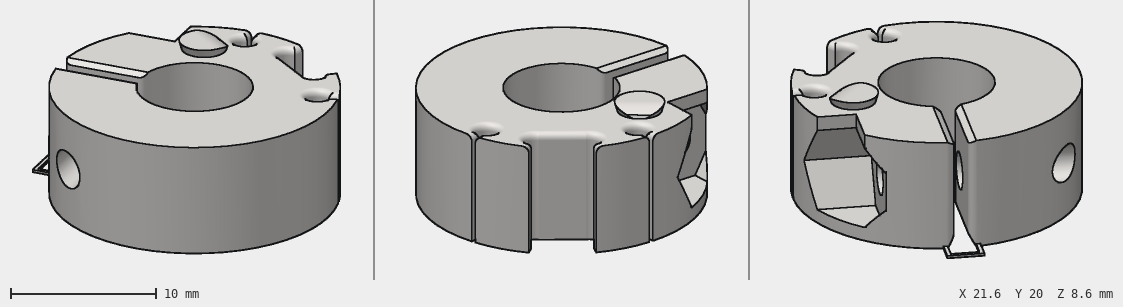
import cadquery as cq
import math

body_radius = 10.0
body_height = 8.0
bore_radius = 4.0

slit_y = -0.06
slit_width = 1.0
slit_corner_radius = 0.5
edge_break = 0.5
top_break_angle = 30
bottom_break_angle = 60

frame_tip_x = -11.55
frame_bar = 0.3
frame_height = 0.2
frame_embed = 0.32

screw_x = -6.0
screw_z = body_height / 2
screw_hole_radius = 1.31
nut_across_flats = 5.97
nut_floor_y = 4.98
nut_slot_floor_y = 6.33

rim_fillet = 0.5
keyhole_radius = 0.75
keyhole_distance = 8.5
keyhole_slot_width = 0.3
keyhole_angles = (90, 15)
notch_angle = sum(keyhole_angles) / 2
notch_corner_half_angle = 12.5
notch_floor_distance = 7.58
notch_mouth_half_angle = 13.4

button_x = -2.0
button_y = 6.14
button_height = 0.6
button_top_radius = 1.72
button_base_radius = 1.55
button_turn = 51
button_curve_radius = 2.7
button_end_top = 1.38
button_end_base = 1.49

reach = 2 * body_radius
slit_half = slit_width / 2
slit_open_half = slit_half + edge_break
top_break_depth = edge_break * math.tan(math.radians(top_break_angle))
bottom_break_depth = edge_break * math.tan(math.radians(bottom_break_angle))


def ring_with_slit():
    """Ring split on -X, with the four upright slit corners rounded."""
    ring = cq.Workplane("XY").circle(body_radius).circle(bore_radius).extrude(body_height)
    slit = (
        cq.Workplane("XY")
        .center(-reach / 2, slit_y)
        .rect(reach, slit_width)
        .extrude(body_height)
    )
    slit_corners = cq.selectors.BoxSelector(
        (-reach, slit_y - slit_width, 0),
        (-bore_radius / 2, slit_y + slit_width, body_height),
    )
    return ring.cut(slit).edges("|Z").edges(slit_corners).fillet(slit_corner_radius)


def slit_edge_breaks():
    """Wedges that slope the slit edges, and a cone that slopes the lower bore edge."""
    top_wedge = [
        (slit_y - slit_open_half, body_height),
        (slit_y + slit_open_half, body_height),
        (slit_y + slit_half, body_height - top_break_depth),
        (slit_y - slit_half, body_height - top_break_depth),
    ]
    bottom_wedge = [
        (slit_y - slit_open_half, 0),
        (slit_y + slit_open_half, 0),
        (slit_y + slit_half, bottom_break_depth),
        (slit_y - slit_half, bottom_break_depth),
    ]
    top_cut = cq.Workplane("YZ").polyline(top_wedge).close().extrude(-reach)
    bottom_cut = cq.Workplane("YZ").polyline(bottom_wedge).close().extrude(-reach)
    cone = cq.Workplane(
        cq.Solid.makeCone(bore_radius + edge_break, bore_radius, bottom_break_depth)
    )
    return top_cut.union(bottom_cut).union(cone)


def wire_frame():
    """Flat U-shaped frame whose legs end inside the ring."""
    length = -body_radius + frame_embed - frame_tip_x
    outer_width = 2 * (slit_open_half + frame_bar)
    outer = cq.Workplane("XY").box(length, outer_width, frame_height, centered=(False, True, False))
    opening = (
        cq.Workplane("XY")
        .box(length, 2 * slit_open_half, frame_height, centered=(False, True, False))
        .translate((frame_bar, 0, 0))
    )
    return outer.cut(opening).translate((frame_tip_x, slit_y, 0))


def screw_and_nut_cuts():
    """Through hole along Y, hexagonal pocket from +Y, and its slot up to the top face."""
    flat_length = nut_across_flats / math.sqrt(3)
    hole = (
        cq.Workplane("XZ", origin=(screw_x, 0, screw_z))
        .circle(screw_hole_radius)
        .extrude(reach, both=True)
    )
    pocket = (
        cq.Workplane("XZ", origin=(screw_x, nut_floor_y, screw_z))
        .polygon(6, 2 * flat_length)
        .extrude(-reach)
    )
    slot = (
        cq.Workplane("XY")
        .box(flat_length, reach, body_height, centered=(True, False, False))
        .translate((screw_x, nut_slot_floor_y, screw_z))
    )
    return hole.union(pocket).union(slot)


def keyhole(angle):
    """Round hole near the rim with a narrow radial slot to the outside."""
    hole = cq.Workplane("XY").center(keyhole_distance, 0).circle(keyhole_radius).extrude(body_height)
    slot = (
        cq.Workplane("XY")
        .box(reach, keyhole_slot_width, body_height, centered=(False, True, False))
        .translate((keyhole_distance, 0, 0))
    )
    return hole.union(slot).rotate((0, 0, 0), (0, 0, 1), angle)


def rim_notch():
    """Wide notch with a flat floor, rounded inner corners and a mouth with radial sides."""
    corner_angle = math.radians(notch_corner_half_angle)
    corner_distance = keyhole_distance * math.cos(corner_angle)
    corner_spread = keyhole_distance * math.sin(corner_angle)
    corners = (
        cq.Workplane("XY")
        .pushPoints([(corner_distance, -corner_spread), (corner_distance, corner_spread)])
        .circle(keyhole_radius)
        .extrude(body_height)
    )
    mouth_slope = math.tan(math.radians(notch_mouth_half_angle))
    mouth_half_width = reach * mouth_slope
    floor_half_width = notch_floor_distance * mouth_slope
    mouth = (
        cq.Workplane("XY")
        .polyline([
            (notch_floor_distance, -floor_half_width),
            (reach, -mouth_half_width),
            (reach, mouth_half_width),
            (notch_floor_distance, floor_half_width),
        ])
        .close()
        .extrude(body_height)
    )
    return mouth.union(corners).rotate((0, 0, 0), (0, 0, 1), notch_angle)


def rim_openings():
    """All openings along the rim, as one cutting body."""
    openings = rim_notch()
    for angle in keyhole_angles:
        openings = openings.union(keyhole(angle))
    return openings


def is_opening_edge(edge):
    """True for a top edge of a rim opening: right of the slit, between bore and rim."""
    middle = edge.positionAt(0.5)
    distance = math.hypot(middle.x, middle.y)
    return middle.x > -bore_radius / 2 and bore_radius + 0.22 < distance < body_radius - 0.02


def button():
    """Cone widening upward; half of its top is flat, half curves down to a flat end."""
    cone = cq.Workplane(cq.Solid.makeCone(button_base_radius, button_top_radius, button_height))

    def curve_height(distance):
        drop = button_curve_radius - math.sqrt(button_curve_radius**2 - distance**2)
        return button_height - drop

    profile = (
        cq.Workplane("XZ")
        .moveTo(-reach, 0)
        .lineTo(-reach, button_height)
        .lineTo(0, button_height)
        .threePointArc(
            (button_end_top / 2, curve_height(button_end_top / 2)),
            (button_end_top, curve_height(button_end_top)),
        )
        .lineTo(button_end_base, 0)
        .close()
        .extrude(reach, both=True)
    )
    return (
        cone.intersect(profile)
        .rotate((0, 0, 0), (0, 0, 1), button_turn)
        .translate((button_x, button_y, body_height))
    )


ring = ring_with_slit().cut(rim_openings())

opening_edges = [edge for edge in ring.faces(">Z").edges().vals() if is_opening_edge(edge)]
ring = ring.newObject(opening_edges).fillet(rim_fillet)

result = (
    ring.cut(slit_edge_breaks())
    .cut(screw_and_nut_cuts())
    .union(wire_frame())
    .union(button())
)